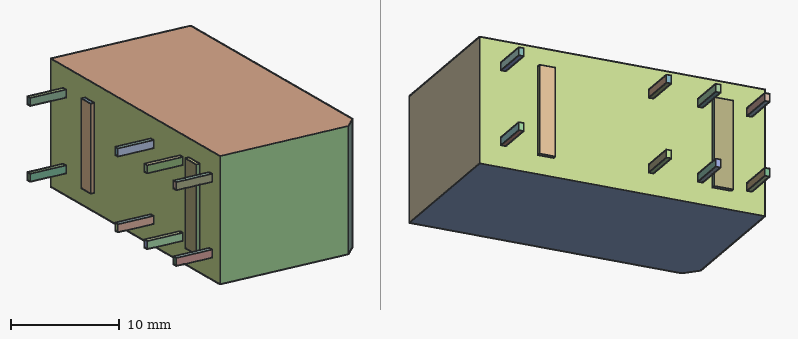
import cadquery as cq

body_length = 29.0
body_depth = 15.3
body_height = 12.7
corner_chamfer = 1.3

pin_width = 0.5
pin_thickness = 0.8
pin_length = 3.9
pin_pitch = 5.0
pin_grid_positions = (0, 3, 4, 5)
first_pin_x = 2.4
row_spacing = 7.5

standoff_bars = ((6.7, 1.6), (24.6, 1.9))
standoff_height = 0.4
standoff_length = 8.9

mid_z = body_height / 2


def make_body():
    body = cq.Workplane("XY").box(body_length, body_depth, body_height, centered=False)
    return body.edges("|Z and >X and >Y").chamfer(corner_chamfer)


def make_projection(center_x, center_z, width, height, length):
    """Rectangular bar standing out of the terminal face toward -Y."""
    return (
        cq.Workplane("XZ")
        .center(center_x, center_z)
        .rect(width, height)
        .extrude(length)
    )


def add_standoffs(part):
    for bar_x, bar_width in standoff_bars:
        bar = make_projection(bar_x, mid_z, bar_width, standoff_length, standoff_height)
        part = part.union(bar)
    return part


def add_pins(part):
    for position in pin_grid_positions:
        pin_x = first_pin_x + position * pin_pitch
        for side in (-1, 1):
            pin_z = mid_z + side * row_spacing / 2
            pin = make_projection(pin_x, pin_z, pin_width, pin_thickness, pin_length)
            part = part.union(pin)
    return part


result = add_pins(add_standoffs(make_body()))